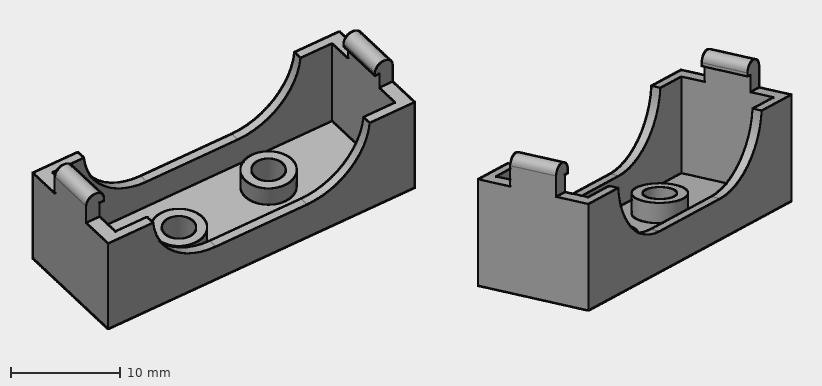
import cadquery as cq
import math

length = 34.2
width = 12.0
body_height = 10.4
total_height = 13.4
side_wall = 1.0
end_wall = 1.5
floor = 1.0

scoop_length = 24.15
scoop_bottom = 4.0
scoop_radius = 7.0

clip_width = 5.0
clip_bead_radius = 1.0
clip_hook_height = 12.07

boss_diameter = 5.15
hole_diameter = 3.15
boss_height = 2.0
boss_x = 0.92
boss_y = 5.65


def make_tray():
    outer = cq.Workplane("XY").box(width, length, body_height, centered=(True, True, False))
    cavity = (
        cq.Workplane("XY", origin=(0, 0, floor))
        .rect(width - 2 * side_wall, length - 2 * end_wall)
        .extrude(body_height - floor)
    )
    return outer.cut(cavity)


def make_scoop():
    """Opening with a flat bottom and an arc at each end, running across X."""
    center_z = scoop_bottom + scoop_radius
    rim_angle = math.asin((center_z - body_height) / scoop_radius)
    half_top = scoop_length / 2
    center_y = half_top - scoop_radius * math.cos(rim_angle)
    mid_angle = (rim_angle + math.pi / 2) / 2
    mid_y = center_y + scoop_radius * math.cos(mid_angle)
    mid_z = center_z - scoop_radius * math.sin(mid_angle)
    return (
        cq.Workplane("YZ")
        .moveTo(-half_top, body_height)
        .threePointArc((-mid_y, mid_z), (-center_y, scoop_bottom))
        .lineTo(center_y, scoop_bottom)
        .threePointArc((mid_y, mid_z), (half_top, body_height))
        .close()
        .extrude(width / 2, both=True)
    )


def make_clip(side):
    """Upright tongue with a rounded hook facing inward; side is +1 or -1 along Y."""
    outer_y = side * length / 2
    tongue_y = outer_y - side * end_wall
    hook_y = outer_y - side * 2 * clip_bead_radius
    bead_y = outer_y - side * clip_bead_radius
    bead_z = total_height - clip_bead_radius
    return (
        cq.Workplane("YZ")
        .moveTo(outer_y, floor)
        .lineTo(outer_y, bead_z)
        .threePointArc((bead_y, total_height), (hook_y, bead_z))
        .lineTo(hook_y, clip_hook_height)
        .lineTo(tongue_y, clip_hook_height)
        .lineTo(tongue_y, floor)
        .close()
        .extrude(clip_width / 2, both=True)
    )


result = make_tray().cut(make_scoop())

for side in (-1, 1):
    result = result.union(make_clip(side))

boss_centers = [(-boss_x, boss_y), (boss_x, -boss_y)]
bosses = (
    cq.Workplane("XY").pushPoints(boss_centers).circle(boss_diameter / 2).extrude(floor + boss_height)
)
holes = (
    cq.Workplane("XY").pushPoints(boss_centers).circle(hole_diameter / 2).extrude(floor + boss_height)
)
result = result.union(bosses).cut(holes)